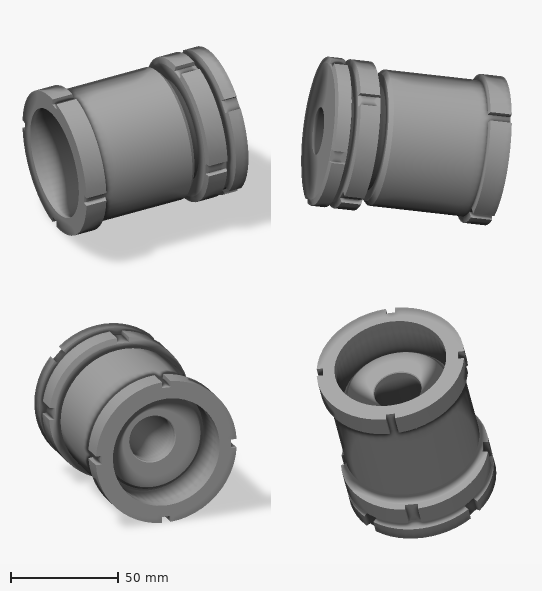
import cadquery as cq
import math


rim_diameter = 70.0
rim_chamfer_angle = 15.0
rim_chamfer_depth = 2.9
rim_chamfer_width = rim_chamfer_depth * math.tan(math.radians(rim_chamfer_angle))

flange_width = 11.0
sleeve_diameter = 64.0
sleeve_length = 58.0
sleeve_end_chamfer = 2.0
recess_diameter = 53.0
recess_depth = 22.0

overall_length = 84.25
head_width = 8.0
spindle_start = 18.7
spindle_diameter = 50.0
spindle_chamfer = 1.25
spindle_hole_diameter = 22.4
spindle_hole_chamfer = 0.4
neck_width = 1.45
neck_fillet = 0.5

nut_width = 11.0
nut_start = 62.45

notch_count = 4
flange_notch_width = 4.3
flange_notch_floor_radius = 32.0
nut_notch_width = 6.0
nut_notch_floor_radius = 32.5
head_notch_width = 6.0
head_notch_floor_radius = 32.5

nut_turn = 2.5
spindle_turn = -45.8


def turned(profile):
    """Solid of revolution around Y from a closed list of (y, radius) points."""
    return cq.Workplane("YZ").polyline(profile).close().revolve(360, (0, 0, 0), (1, 0, 0))


def turn_about_axis(body, angle):
    """Turn a body around Y; positive angles go from +Z towards +X."""
    return body.rotate((0, 0, 0), (0, 1, 0), angle)


def cut_notches(body, start, width_along_axis, notch_width, floor_radius):
    """Cut equally spaced spanner notches into a rim starting at +Z."""
    notch_height = rim_diameter / 2
    for index in range(notch_count):
        notch = (
            cq.Workplane("XY")
            .box(notch_width, width_along_axis, notch_height, centered=(True, False, False))
            .translate((0, start, floor_radius))
        )
        body = body.cut(turn_about_axis(notch, index * 360 / notch_count))
    return body


def make_sleeve():
    flange_radius = rim_diameter / 2
    sleeve_radius = sleeve_diameter / 2
    recess_radius = recess_diameter / 2
    bore_radius = spindle_diameter / 2
    body = turned([
        (0, recess_radius),
        (0, flange_radius),
        (flange_width - rim_chamfer_width, flange_radius),
        (flange_width, flange_radius - rim_chamfer_depth),
        (flange_width, sleeve_radius),
        (sleeve_length - sleeve_end_chamfer, sleeve_radius),
        (sleeve_length, sleeve_radius - sleeve_end_chamfer),
        (sleeve_length, bore_radius),
        (recess_depth, bore_radius),
        (recess_depth, recess_radius),
    ])
    return cut_notches(body, 0, flange_width, flange_notch_width, flange_notch_floor_radius)


def make_lock_nut():
    outer_radius = rim_diameter / 2
    bore_radius = spindle_diameter / 2
    nut_end = nut_start + nut_width
    body = turned([
        (nut_start, bore_radius),
        (nut_start, outer_radius - rim_chamfer_depth),
        (nut_start + rim_chamfer_width, outer_radius),
        (nut_end - rim_chamfer_width, outer_radius),
        (nut_end, outer_radius - rim_chamfer_depth),
        (nut_end, bore_radius),
    ])
    return cut_notches(body, nut_start, nut_width, nut_notch_width, nut_notch_floor_radius)


def make_spindle():
    head_radius = rim_diameter / 2
    spindle_radius = spindle_diameter / 2
    neck_radius = spindle_radius - spindle_chamfer
    hole_radius = spindle_hole_diameter / 2
    head_start = overall_length - head_width
    neck_start = head_start - neck_width
    body = turned([
        (spindle_start, hole_radius + spindle_hole_chamfer),
        (spindle_start, spindle_radius - spindle_chamfer),
        (spindle_start + spindle_chamfer, spindle_radius),
        (neck_start - spindle_chamfer, spindle_radius),
        (neck_start, neck_radius),
        (head_start, neck_radius),
        (head_start, head_radius - rim_chamfer_depth),
        (head_start + rim_chamfer_width, head_radius),
        (overall_length - rim_chamfer_width, head_radius),
        (overall_length, head_radius - rim_chamfer_depth),
        (overall_length, hole_radius),
        (spindle_start + spindle_hole_chamfer, hole_radius),
    ])
    neck_corners = cq.selectors.BoxSelector(
        (-spindle_radius, neck_start - neck_fillet / 2, -spindle_radius),
        (spindle_radius, head_start + neck_fillet / 2, spindle_radius),
    )
    body = body.edges("%CIRCLE").edges(neck_corners).fillet(neck_fillet)
    return cut_notches(body, head_start, head_width, head_notch_width, head_notch_floor_radius)


sleeve = make_sleeve()
lock_nut = turn_about_axis(make_lock_nut(), nut_turn)
spindle = turn_about_axis(make_spindle(), spindle_turn)

result = cq.Compound.makeCompound([sleeve.val(), lock_nut.val(), spindle.val()])